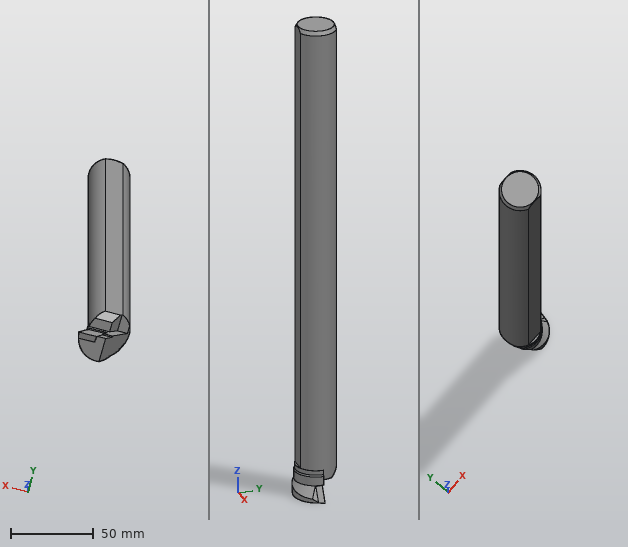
import cadquery as cq
import math


total_length = 306.05
shank_radius = 12.7
flat_offset = 11.43
end_chamfer_width = 1.5
end_chamfer_length = 2.5
front_flat_end = 19.3

head_face_y = 0.9
lip_height = 6.5
collar_radius = 12.85
neck_radius = 13.4
neck_bottom = 9.7
neck_top = 15.5
neck_taper_height = 1.0
flare_angle = 37.0
envelope_radius = 14.8
envelope_x = 3.6
envelope_y = -0.68
back_angle = 52.4
back_start = 20.6

chip_floor = 13.0
chip_ceiling = 18.7
chip_wall_x = -5.0
chip_wall_angle = 49.0
chip_chamfer_start = 17.5

tip_x = 19.03
insert_angle = 55.0
inscribed_diameter = 9.525
insert_side = inscribed_diameter / math.sin(math.radians(insert_angle))
edge_tilt = 3.0
insert_thickness = 3.97
relief_angle = 7.0
nose_radius = 0.4
pocket_length_factor = 2.0

clear = 50.0
across_part = (-clear, clear)


def block(x_range, y_range, z_range):
    """Axis-aligned box from its limits along X, Y and Z."""
    sizes = [high - low for low, high in (x_range, y_range, z_range)]
    return cq.Workplane("XY").box(*sizes, centered=False).translate((x_range[0], y_range[0], z_range[0]))


def prism_along_y(points, y_low, y_high):
    """Prism with an XZ outline, spanning y_low to y_high."""
    return cq.Workplane("XZ", origin=(0, y_high, 0)).polyline(points).close().extrude(y_high - y_low)


def make_shank():
    chamfer_radius = shank_radius - end_chamfer_width
    profile = [
        (0, chip_floor),
        (shank_radius, chip_floor),
        (shank_radius, total_length - end_chamfer_length),
        (chamfer_radius, total_length),
        (0, total_length),
    ]
    shank = cq.Workplane("XZ").polyline(profile).close().revolve(360, (0, 0), (0, 1))
    shank = shank.cut(block(across_part, (flat_offset, clear), (0, total_length)))
    return shank.cut(block(across_part, (-clear, -flat_offset), (front_flat_end, total_length)))


def cut_chip_space(shank):
    """Notch the +Y half of the shank end on its -X side and bevel its lower +Y edge."""
    wall_run = (chip_ceiling - chip_floor) / math.tan(math.radians(chip_wall_angle))
    notch = [
        (-clear, chip_floor),
        (-clear, chip_ceiling),
        (chip_wall_x, chip_ceiling),
        (chip_wall_x + wall_run, chip_floor),
    ]
    shank = shank.cut(prism_along_y(notch, head_face_y, clear))
    drop = chip_chamfer_start - chip_floor
    bevel = [
        (flat_offset, chip_chamfer_start),
        (flat_offset - drop, chip_floor),
        (flat_offset, chip_floor),
    ]
    return shank.cut(cq.Workplane("YZ").polyline(bevel).close().extrude(clear, both=True))


def make_head():
    flare_radius = neck_radius + neck_bottom * math.tan(math.radians(flare_angle))
    profile = [
        (0, 0),
        (flare_radius, 0),
        (neck_radius, neck_bottom),
        (neck_radius, neck_top),
        (collar_radius, neck_top + neck_taper_height),
        (collar_radius, front_flat_end),
        (0, front_flat_end),
    ]
    head = cq.Workplane("XZ").polyline(profile).close().revolve(360, (0, 0), (0, 1))
    envelope = cq.Workplane("XY").center(envelope_x, envelope_y).circle(envelope_radius).extrude(neck_bottom)
    upper = block(across_part, across_part, (neck_bottom, total_length))
    head = head.intersect(envelope.union(upper))
    head = head.cut(block(across_part, (head_face_y, clear), (0, total_length)))
    return head.cut(block(across_part, (0, clear), (0, lip_height)))


def back_relief():
    """Wedge below the sloping flat on the -X side."""
    run = back_start / math.tan(math.radians(back_angle))
    outline = [
        (-shank_radius - run, 2 * back_start),
        (-shank_radius + run, 0),
        (-shank_radius - run, 0),
    ]
    return prism_along_y(outline, -clear, clear)


def rhombus(corner, side, direction):
    """Rhombus in XZ with one acute corner given; direction 1 opens away from the tip, -1 towards it."""
    lower = math.radians(180 - edge_tilt)
    upper = math.radians(180 - edge_tilt - insert_angle)
    step = side * direction
    along = (step * math.cos(lower), step * math.sin(lower))
    across = (step * math.cos(upper), step * math.sin(upper))
    x, z = corner
    return [
        (x, z),
        (x + along[0], z + along[1]),
        (x + along[0] + across[0], z + along[1] + across[1]),
        (x + across[0], z + across[1]),
    ]


def corner_inside_edges(inset):
    """Corner of the two cutting edges moved inwards by inset.

    An inset of zero gives the sharp corner; its nose arc of nose_radius touches x = tip_x and z = 0.
    """
    bisector = math.radians(180 - edge_tilt - insert_angle / 2)
    reach = (inset - nose_radius) / math.sin(math.radians(insert_angle / 2))
    nose_x = tip_x - nose_radius
    return (nose_x + reach * math.cos(bisector), nose_radius + reach * math.sin(bisector))


def tapered_prism(points):
    """Prism from the rake face towards -Y, shrinking by the relief angle."""
    return cq.Workplane("XZ").polyline(points).close().extrude(insert_thickness, taper=relief_angle)


def tip_clearance():
    """Space below the neck and outside the two edges of the underside of the insert."""
    setback = insert_thickness * math.tan(math.radians(relief_angle))
    corner = corner_inside_edges(setback)
    lower_end, _, upper_end = rhombus(corner, clear, 1)[1:]
    outline = [corner, lower_end, (lower_end[0], -clear), (clear, -clear), (clear, upper_end[1]), upper_end]
    below_neck = block(across_part, across_part, (-clear, neck_bottom))
    return prism_along_y(outline, -clear, clear).intersect(below_neck)


def make_insert():
    insert = tapered_prism(rhombus(corner_inside_edges(0), insert_side, 1))
    return insert.edges("not #Y").edges(">X").fillet(nose_radius)


def insert_pocket():
    """Seat sharing the two rear walls of the insert and open past its tip."""
    rear_corner = rhombus(corner_inside_edges(0), insert_side, 1)[2]
    outline = rhombus(rear_corner, pocket_length_factor * insert_side, -1)
    return tapered_prism(outline).union(prism_along_y(outline, 0, clear))


bar = cut_chip_space(make_shank()).union(make_head())
bar = bar.cut(back_relief()).cut(tip_clearance()).cut(insert_pocket())
insert = make_insert()
result = cq.Compound.makeCompound([*bar.vals(), *insert.vals()])